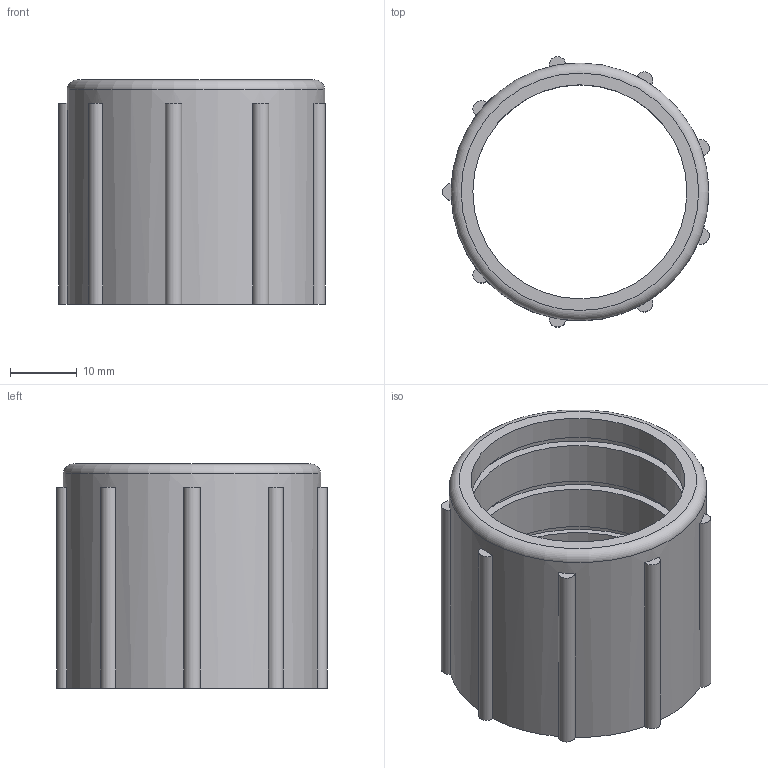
import cadquery as cq

body_diameter = 38.5
height = 33.5
bore_diameter = 32.0
top_fillet = 1.5

rib_count = 9
rib_radius = 1.25
rib_height = 30.0
first_rib_angle = 180.0

groove_count = 2
groove_diameter = 34.5
groove_width = 1.5
groove_pitch = 8.0
first_groove_depth = 3.5

socket_diameter = 36.0
socket_depth = 13.7
lip_diameter = 34.3
lip_height = 1.5
lip_top_z = 11.75


def make_disc(diameter, bottom_z, top_z):
    """Solid disc on the Z axis between two heights."""
    return (
        cq.Workplane("XY")
        .workplane(offset=bottom_z)
        .circle(diameter / 2)
        .extrude(top_z - bottom_z)
    )


def make_body():
    """Solid cylinder with a rounded top edge."""
    body = make_disc(body_diameter, 0, height)
    return body.faces(">Z").edges().fillet(top_fillet)


def make_ribs():
    """Round ribs centred on the outer surface, rising from the bottom face."""
    return (
        cq.Workplane("XY")
        .polarArray(body_diameter / 2, first_rib_angle, 360, rib_count)
        .circle(rib_radius)
        .extrude(rib_height)
    )


def make_bore():
    """Through bore together with its ring grooves."""
    bore = make_disc(bore_diameter, 0, height)
    for index in range(groove_count):
        groove_top_z = height - first_groove_depth - index * groove_pitch
        groove = make_disc(groove_diameter, groove_top_z - groove_width, groove_top_z)
        bore = bore.union(groove)
    return bore


def make_socket():
    """Bottom socket, narrowed over the height of the lip."""
    lip_bottom_z = lip_top_z - lip_height
    below_lip = make_disc(socket_diameter, 0, lip_bottom_z)
    through_lip = make_disc(lip_diameter, lip_bottom_z, lip_top_z)
    above_lip = make_disc(socket_diameter, lip_top_z, socket_depth)
    return below_lip.union(through_lip).union(above_lip)


result = make_body().union(make_ribs()).cut(make_bore()).cut(make_socket())